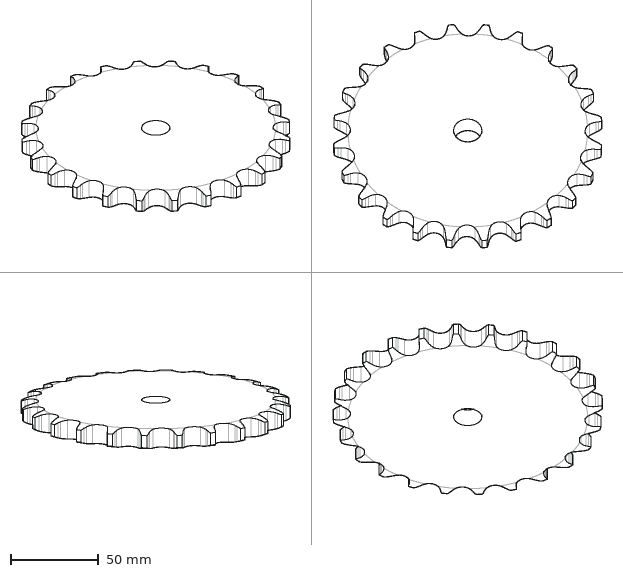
import cadquery as cq
import math


tooth_count = 24
half_extent = 76.5
thickness = 11.2
bore_diameter = 16.0
pitch_radius = 73.0
roller_diameter = 12.0
seat_radius = 6.0
face_radius = 68.4
rounding_radius = 19.1

half_pitch_angle = math.radians(180 / tooth_count)
seat_angle = math.radians(35 + 60 / tooth_count)
working_angle = math.radians(18 - 56 / tooth_count)
working_offset = 0.8 * roller_diameter
topping_offset = 1.4 * roller_diameter
working_radius = seat_radius + working_offset

gap_cut_radius = half_extent + 7.6


def polar_from(center, radius, angle):
    """Point at a given radius and angle (radians from +X) around a center."""
    return (center[0] + radius * math.cos(angle), center[1] + radius * math.sin(angle))


def mirrored(point):
    return (-point[0], point[1])


roller_center = (0, pitch_radius)
working_center = polar_from(roller_center, working_offset, math.pi - seat_angle)
topping_center = polar_from(roller_center, topping_offset, -half_pitch_angle)
flank_normal = working_angle - seat_angle

seat_bottom = (0, pitch_radius - seat_radius)
seat_end = polar_from(roller_center, seat_radius, -seat_angle)
working_middle = polar_from(working_center, working_radius, -seat_angle + working_angle / 2)
working_end = polar_from(working_center, working_radius, flank_normal)

to_topping = (topping_center[0] - working_end[0], topping_center[1] - working_end[1])
straight_length = -to_topping[0] * math.sin(flank_normal) + to_topping[1] * math.cos(flank_normal)
topping_radius = to_topping[0] * math.cos(flank_normal) + to_topping[1] * math.sin(flank_normal)
straight_end = polar_from(working_end, straight_length, flank_normal + math.pi / 2)


def topping_point(height):
    """Point of the topping arc at a given Y."""
    rise = height - topping_center[1]
    return (topping_center[0] - math.sqrt(topping_radius**2 - rise**2), height)


tip_corner = topping_point(half_extent)
tip_radius = math.hypot(tip_corner[0], tip_corner[1])
topping_end = topping_point(tip_radius)
topping_middle = topping_point((straight_end[1] + tip_radius) / 2)


def rounding_drop(radius):
    """Height lost by the rounded tooth side at a given distance from the axis."""
    run = radius - face_radius
    return rounding_radius - math.sqrt(rounding_radius**2 - run**2)


def make_blank():
    """Disc whose rim is rounded on both sides, leaving a narrow cylindrical tip."""
    tip_drop = rounding_drop(tip_radius)
    middle_radius = (face_radius + tip_radius) / 2
    middle_drop = rounding_drop(middle_radius)
    return (
        cq.Workplane("XZ")
        .moveTo(0, 0)
        .lineTo(face_radius, 0)
        .threePointArc((middle_radius, middle_drop), (tip_radius, tip_drop))
        .lineTo(tip_radius, thickness - tip_drop)
        .threePointArc((middle_radius, thickness - middle_drop), (face_radius, thickness))
        .lineTo(0, thickness)
        .close()
        .revolve(360, (0, 0), (0, 1))
    )


def make_gap():
    """Cutter for one tooth gap, symmetric about +Y."""
    return (
        cq.Workplane("XY")
        .moveTo(*seat_end)
        .threePointArc(working_middle, working_end)
        .lineTo(*straight_end)
        .threePointArc(topping_middle, topping_end)
        .lineTo(topping_end[0], gap_cut_radius)
        .lineTo(-topping_end[0], gap_cut_radius)
        .lineTo(*mirrored(topping_end))
        .threePointArc(mirrored(topping_middle), mirrored(straight_end))
        .lineTo(*mirrored(working_end))
        .threePointArc(mirrored(working_middle), mirrored(seat_end))
        .threePointArc(seat_bottom, seat_end)
        .close()
        .extrude(thickness)
    )


sprocket = make_blank()
gap = make_gap()
for index in range(tooth_count):
    sprocket = sprocket.cut(gap.rotate((0, 0, 0), (0, 0, 1), index * 360 / tooth_count))

bore = cq.Workplane("XY").circle(bore_diameter / 2).extrude(thickness)
result = sprocket.cut(bore)